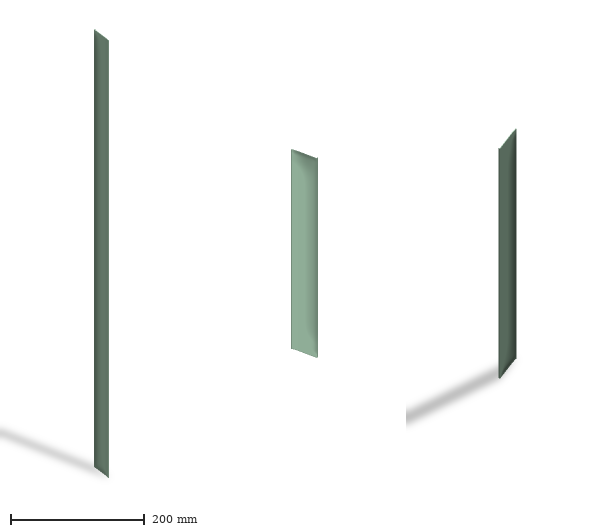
import cadquery as cq

length = 738.0
width = 42.0
depth = 3.4

thickness = 1.0
bend_from_left = 32.5
web_height = 0.9
lip_height = 0.45
lip_width = 1.5

left = -width / 2
right = width / 2
bend = left + bend_from_left
lip_left = right - lip_width
hook_right = left + thickness
front = -depth / 2
back = depth / 2
web_front = front + web_height
web_back = web_front + thickness
lean_front = front + lip_height
lean_back = lean_front + thickness

profile = [
    (left, web_front),
    (bend, web_front),
    (lip_left, lean_front),
    (lip_left, front),
    (right, front),
    (right, lean_back),
    (lip_left, lean_back),
    (bend, web_back),
    (hook_right, web_back),
    (hook_right, back),
    (left, back),
]

result = (
    cq.Workplane("XY")
    .workplane(offset=-length / 2)
    .polyline(profile)
    .close()
    .extrude(length)
)